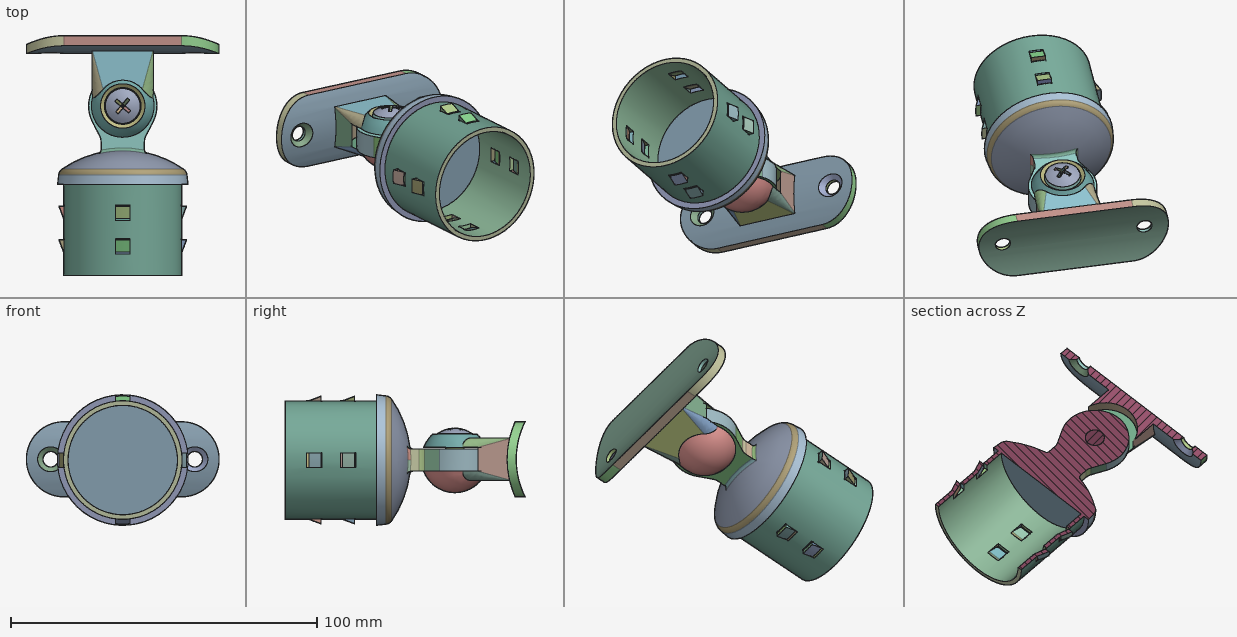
import cadquery as cq
import math


ball_radius = 10.95
fork_offset = 0.25
ball_flat_height = 8.2
slot_height = 7.8
arm_thickness = 7.3
slot_radius = 12.6
slot_relief_offset = 5.0
arm_eye_radius = 11.2
neck_half_width = 7.1
eye_tangent_angle = math.radians(27)
neck_blend_radius = 4.0
neck_root_fillet = 1.0
selection_margin = 1.0

plate_length = 63.0
plate_height = 24.6
plate_back = 23.0
plate_bend_radius = 27.4
plate_thickness = 3.0
mount_hole_spacing = 47.0
mount_hole_diameter = 5.0
countersink_diameter = 8.6
countersink_angle = 90.0

block_width = 20.2
block_height = 14.0
block_corner_at_plate = 0.05
block_corner_at_pivot = 5.2

socket_end = -55.38
tube_length = 29.8
tube_radius = 38.7 / 2
bore_radius = 35.7 / 2
collar_radius = 42.7 / 2
collar_top_radius = 21.0
collar_height = 3.05
dome_base_radius = 19.9
dome_base_height = 4.95
dome_height = 11.2

tongue_width = 4.7
tongue_length = 4.0
tongue_rise = 1.5
tongue_lip = 0.05
hollow_rise = 1.2
tongue_root = 0.7
tongue_gap = 0.3
window_distance = 6.8
tongue_pitch = 11.0
tongue_rows = 2
tongue_cut_margin = 1.0
tongue_sweep = 40.0
tongues_per_row = 4

shaft_diameter = 6.0
head_diameter = 12.0
head_depth = 2.5
rim_depth = 1.0
head_edge_height = 1.15
head_edge_width = 0.3
crown_height = 2.0
shaft_end_height = -7.0
cross_length = 6.0
cross_width = 1.0
cross_depth = 2.5
cross_angle = 50.0

collar_face = socket_end + tube_length
slot_bottom = -arm_thickness / 2
slot_top = slot_bottom + slot_height
ball_top = fork_offset + ball_flat_height
head_seat = ball_top - head_depth
rim_bottom = ball_top - rim_depth


def disc(radius, bottom, top):
    """Upright cylinder about the pivot axis."""
    return cq.Workplane("XY").workplane(offset=bottom).circle(radius).extrude(top - bottom)


def screw_envelope():
    """Head cylinder and shaft: the space the screw fills inside the joint."""
    shaft = disc(shaft_diameter / 2, shaft_end_height, head_seat)
    return shaft.union(disc(head_diameter / 2, head_seat, rim_bottom))


def rim_cone():
    """Conical mouth from the head recess out to the edge of the ball's flat."""
    return (
        cq.Workplane("XY", origin=(0, 0, rim_bottom))
        .circle(head_diameter / 2)
        .workplane(offset=rim_depth)
        .circle(math.sqrt(ball_radius**2 - ball_flat_height**2))
        .loft(ruled=True)
    )


def make_plate():
    """Plate with countersunk holes, and the Y of the crest of its front face."""
    half_height = plate_height / 2
    bend_axis = plate_back + math.sqrt(plate_bend_radius**2 - half_height**2)
    outer_radius = plate_bend_radius + plate_thickness
    front_face = bend_axis - outer_radius

    outline = (
        cq.Workplane("XZ", origin=(0, bend_axis, fork_offset))
        .slot2D(plate_length, plate_height)
        .extrude(outer_radius)
    )
    shell = (
        cq.Workplane("YZ", origin=(0, bend_axis, fork_offset))
        .circle(outer_radius)
        .circle(plate_bend_radius)
        .extrude(plate_length / 2, both=True)
    )
    plate = outline.intersect(shell)
    plate = (
        plate.copyWorkplane(cq.Workplane("XZ", origin=(0, front_face, fork_offset)))
        .pushPoints([(-mount_hole_spacing / 2, 0), (mount_hole_spacing / 2, 0)])
        .cskHole(mount_hole_diameter, countersink_diameter, countersink_angle)
    )
    return plate, front_face


def make_block(plate_front):
    """Block whose corner rounding grows from the plate to the pivot."""
    block_start = plate_front + plate_thickness / 2
    sections = [
        cq.Sketch().rect(block_width, block_height).vertices().fillet(radius)
        for radius in (block_corner_at_plate, block_corner_at_pivot)
    ]
    return (
        cq.Workplane("XZ", origin=(0, block_start, fork_offset))
        .placeSketch(sections[0], sections[1].moved(cq.Location(cq.Vector(0, 0, block_start))))
        .loft(ruled=True)
    )


def fork_slot():
    """Space swept by the arm, with a deeper hollow that starts at the sides of the block."""
    half_width = block_width / 2
    floor_edge = math.sqrt(slot_radius**2 - half_width**2)
    relief_radius = math.hypot(half_width, floor_edge - slot_relief_offset)
    relief = disc(relief_radius, slot_bottom, slot_top).translate((0, slot_relief_offset, 0))
    return disc(slot_radius, slot_bottom, slot_top).union(relief)


def make_fork():
    """Wall plate, block and slotted ball in one piece, with the screw hole."""
    plate, plate_front = make_plate()
    above_flat = disc(ball_radius, ball_top, 2 * ball_radius)
    ball = cq.Workplane("XY", origin=(0, 0, fork_offset)).sphere(ball_radius).cut(above_flat)
    return (
        plate.union(make_block(plate_front))
        .union(ball)
        .cut(fork_slot())
        .cut(screw_envelope())
        .cut(rim_cone())
    )


def make_arm():
    """Flat arm: a round eye whose flanks run tangentially into a straight neck."""
    tangent_x = arm_eye_radius * math.cos(eye_tangent_angle)
    tangent_y = -arm_eye_radius * math.sin(eye_tangent_angle)
    knee_y = tangent_y - (tangent_x - neck_half_width) / math.tan(eye_tangent_angle)
    neck_end = collar_face + dome_base_height
    arm = (
        cq.Workplane("XY")
        .workplane(offset=-arm_thickness / 2)
        .moveTo(tangent_x, tangent_y)
        .threePointArc((0, arm_eye_radius), (-tangent_x, tangent_y))
        .lineTo(-neck_half_width, knee_y)
        .lineTo(-neck_half_width, neck_end)
        .lineTo(neck_half_width, neck_end)
        .lineTo(neck_half_width, knee_y)
        .close()
        .extrude(arm_thickness)
    )
    knee_box = cq.selectors.BoxSelector(
        (-tangent_x, knee_y - selection_margin, -arm_thickness),
        (tangent_x, knee_y + selection_margin, arm_thickness),
    )
    return arm.edges("|Z").edges(knee_box).fillet(neck_blend_radius)


def make_cap():
    """Domed cap with a tapered collar, turned about Y."""
    dome_rise = dome_height - dome_base_height
    dome_radius = (dome_base_radius**2 + dome_rise**2) / (2 * dome_rise)
    dome_center = dome_height - dome_radius
    mid_radius = dome_base_radius / 2
    mid_height = dome_center + math.sqrt(dome_radius**2 - mid_radius**2)
    return (
        cq.Workplane("XY", origin=(0, collar_face, 0))
        .lineTo(collar_radius, 0)
        .lineTo(collar_top_radius, collar_height)
        .tangentArcPoint((dome_base_radius, dome_base_height), relative=False)
        .threePointArc((mid_radius, mid_height), (0, dome_height))
        .close()
        .revolve(360, (0, 0, 0), (0, 1, 0))
    )


def turned_strip(profile):
    """Sector turned about Y from (radius, y) points and trimmed to the tongue width, on the +X side."""
    trim = cq.Workplane("XY").box(4 * collar_radius, 4 * tube_length, tongue_width)
    return (
        cq.Workplane("XY")
        .polyline(profile)
        .close()
        .revolve(tongue_sweep, (0, 0, 0), (0, 1, 0))
        .rotate((0, 0, 0), (0, 1, 0), -tongue_sweep / 2)
        .intersect(trim)
    )


def make_tongue(window_top):
    """Outward wedge, the hollow behind it, and the slit that frees its high end."""
    free_end = window_top - tongue_gap
    bend = free_end - tongue_length
    root = bend - tongue_root
    mid_wall = (tube_radius + bore_radius) / 2
    inside = bore_radius - tongue_cut_margin
    outside = tube_radius + tongue_cut_margin
    outer = tube_radius + tongue_lip
    hollow = bore_radius + tongue_lip

    wedge = turned_strip([
        (mid_wall, root),
        (outer, root),
        (outer, bend),
        (outer + tongue_rise, free_end),
        (mid_wall, free_end),
    ])
    pocket = turned_strip([
        (inside, root),
        (hollow, root),
        (hollow, bend),
        (hollow + hollow_rise, free_end),
        (inside, free_end),
    ])
    slit = turned_strip([
        (inside, free_end),
        (outside, free_end),
        (outside, window_top),
        (inside, window_top),
    ])
    return wedge, pocket.union(slit)


def make_socket():
    """Arm, domed cap and snap-in tube in one piece."""
    body = make_cap().union(make_arm())
    root_box = cq.selectors.BoxSelector(
        (-bore_radius, collar_face + dome_base_height + selection_margin, -arm_thickness),
        (bore_radius, collar_face + dome_height + selection_margin, arm_thickness),
        boundingbox=True,
    )
    body = body.edges(root_box).edges("not |Y").fillet(neck_root_fillet)
    tube = (
        cq.Workplane("XZ", origin=(0, collar_face, 0))
        .circle(tube_radius)
        .circle(bore_radius)
        .extrude(tube_length)
        .rotate((0, 0, 0), (0, 1, 0), 180 / tongues_per_row)
    )
    for row in range(tongue_rows):
        wedge, opening = make_tongue(collar_face - window_distance - row * tongue_pitch)
        for place in range(tongues_per_row):
            turn = place * 360 / tongues_per_row
            tube = tube.union(wedge.rotate((0, 0, 0), (0, 1, 0), turn))
            tube = tube.cut(opening.rotate((0, 0, 0), (0, 1, 0), turn))
    return body.union(tube).cut(screw_envelope())


def make_screw():
    """Screw with a bevelled dome head and a cross recess that tapers to a point."""
    head_radius = head_diameter / 2
    dome_base_radius = head_radius - head_edge_width
    dome_base = rim_bottom + head_edge_height
    crown = ball_top + crown_height
    rise = crown - dome_base
    dome_radius = (dome_base_radius**2 + rise**2) / (2 * rise)
    mid_radius = dome_base_radius / 2
    mid_height = crown - dome_radius + math.sqrt(dome_radius**2 - mid_radius**2)
    head_top = (
        cq.Workplane("XZ")
        .moveTo(0, rim_bottom)
        .lineTo(head_radius, rim_bottom)
        .lineTo(dome_base_radius, dome_base)
        .threePointArc((mid_radius, mid_height), (0, crown))
        .close()
        .revolve(360, (0, 0, 0), (0, 1, 0))
    )
    screw = screw_envelope().union(head_top)
    blade = (
        cq.Workplane("XZ")
        .polyline([
            (0, crown - cross_depth),
            (cross_length / 2, mid_height),
            (cross_length / 2, crown),
            (-cross_length / 2, crown),
            (-cross_length / 2, mid_height),
        ])
        .close()
        .extrude(cross_width / 2, both=True)
    )
    for angle in (cross_angle, cross_angle + 90):
        screw = screw.cut(blade.rotate((0, 0, 0), (0, 0, 1), angle))
    return screw


fork = make_fork()
socket = make_socket()
screw = make_screw()

result = cq.Compound.makeCompound([fork.val(), socket.val(), screw.val()])